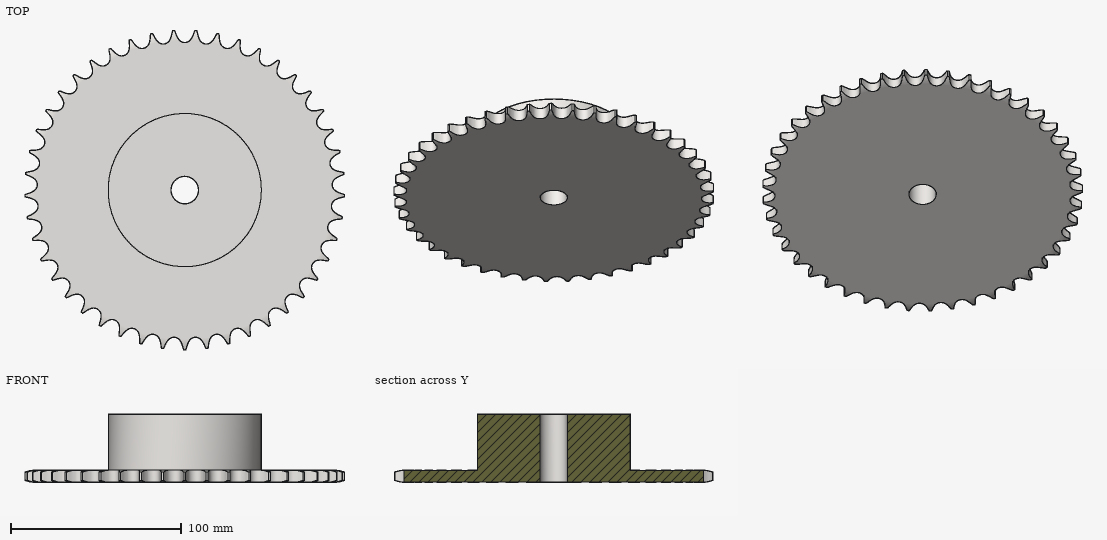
import cadquery as cq
import math

tooth_count = 45
tip_diameter = 188.0
pitch_diameter = 182.1
seat_radius = 4.3
seat_half_angle = math.radians(53.7)
working_radius = 11.0
working_angle = math.radians(16.8)
flank_length = 1.24
topping_radius = 6.8

disc_thickness = 7.1
relief_width = 6.0
relief_radius = 16.0
rim_clearance = 0.2

hub_diameter = 90.0
total_height = 40.0
bore_diameter = 16.0

tip_radius = tip_diameter / 2
tooth_step = 2 * math.pi / tooth_count
pitch_radius = pitch_diameter / 2
root_radius = pitch_radius - seat_radius


def polar(radius, angle):
    """Point at the given radius and angle around the sprocket axis."""
    return (radius * math.cos(angle), radius * math.sin(angle))


def step(point, length, heading):
    """Move a point by the given length; the heading is measured from the gap centreline."""
    return (point[0] + length * math.cos(heading), point[1] + length * math.sin(heading))


def half_gap():
    """Points along one tangent-continuous gap side, on a gap centred on +X, from seat to tip.

    The wall runs seat arc, working arc, straight flank and topping arc. Headings are the
    wall directions, 90 degrees at the root and leaning outward from there.
    """
    quarter_turn = math.pi / 2
    seat_heading = quarter_turn - seat_half_angle
    flank_heading = seat_heading - working_angle

    def on_hollow_arc(center, radius, heading):
        return step(center, radius, heading + quarter_turn)

    seat_center = (pitch_radius, 0)
    seat_end = on_hollow_arc(seat_center, seat_radius, seat_heading)

    working_center = step(seat_end, working_radius, seat_heading - quarter_turn)
    working_middle = on_hollow_arc(working_center, working_radius, seat_heading - working_angle / 2)
    working_end = on_hollow_arc(working_center, working_radius, flank_heading)

    flank_end = step(working_end, flank_length, flank_heading)
    topping_center = step(flank_end, topping_radius, flank_heading + quarter_turn)
    center_distance = math.hypot(*topping_center)
    center_direction = math.atan2(topping_center[1], topping_center[0])

    def on_topping_arc(radius):
        cosine = (center_distance**2 + radius**2 - topping_radius**2) / (2 * center_distance * radius)
        return polar(radius, center_direction - math.acos(cosine))

    topping_middle = on_topping_arc((math.hypot(*flank_end) + tip_radius) / 2)
    tip = on_topping_arc(tip_radius)
    return seat_end, working_middle, working_end, flank_end, topping_middle, tip


def toothed_disc():
    """Flat disc with all teeth, one gap centred on +Y."""
    seat_end, working_middle, working_end, flank_end, topping_middle, tip = half_gap()

    def placed(point, side, gap_angle):
        """Turn a half-gap point to its gap; side -1 mirrors it across the gap centreline."""
        return polar(math.hypot(*point), gap_angle + side * math.atan2(point[1], point[0]))

    first_gap = math.pi / 2
    outline = cq.Workplane("XY").moveTo(*placed(tip, -1, first_gap))
    for index in range(tooth_count):
        gap = first_gap + index * tooth_step
        outline = (
            outline
            .threePointArc(placed(topping_middle, -1, gap), placed(flank_end, -1, gap))
            .lineTo(*placed(working_end, -1, gap))
            .threePointArc(placed(working_middle, -1, gap), placed(seat_end, -1, gap))
            .threePointArc(polar(root_radius, gap), placed(seat_end, 1, gap))
            .threePointArc(placed(working_middle, 1, gap), placed(working_end, 1, gap))
            .lineTo(*placed(flank_end, 1, gap))
            .threePointArc(placed(topping_middle, 1, gap), placed(tip, 1, gap))
            .threePointArc(polar(tip_radius, gap + tooth_step / 2), placed(tip, -1, gap + tooth_step))
        )
    return outline.close().extrude(disc_thickness)


def relief_envelope():
    """Round blank whose rim curves inward on both faces, to thin the tooth tips."""
    outer_radius = tip_radius + rim_clearance
    face_radius = tip_radius - relief_width

    def drop(radius):
        return relief_radius - math.sqrt(relief_radius**2 - (radius - face_radius)**2)

    middle_radius = (face_radius + outer_radius) / 2
    return (
        cq.Workplane("XZ")
        .lineTo(face_radius, 0)
        .threePointArc((middle_radius, drop(middle_radius)), (outer_radius, drop(outer_radius)))
        .lineTo(outer_radius, disc_thickness - drop(outer_radius))
        .threePointArc(
            (middle_radius, disc_thickness - drop(middle_radius)),
            (face_radius, disc_thickness),
        )
        .lineTo(0, disc_thickness)
        .close()
        .revolve(360, (0, 0, 0), (0, 1, 0))
    )


hub = cq.Workplane("XY").circle(hub_diameter / 2).extrude(total_height)
bore = cq.Workplane("XY").circle(bore_diameter / 2).extrude(total_height)

result = toothed_disc().intersect(relief_envelope()).union(hub).cut(bore)